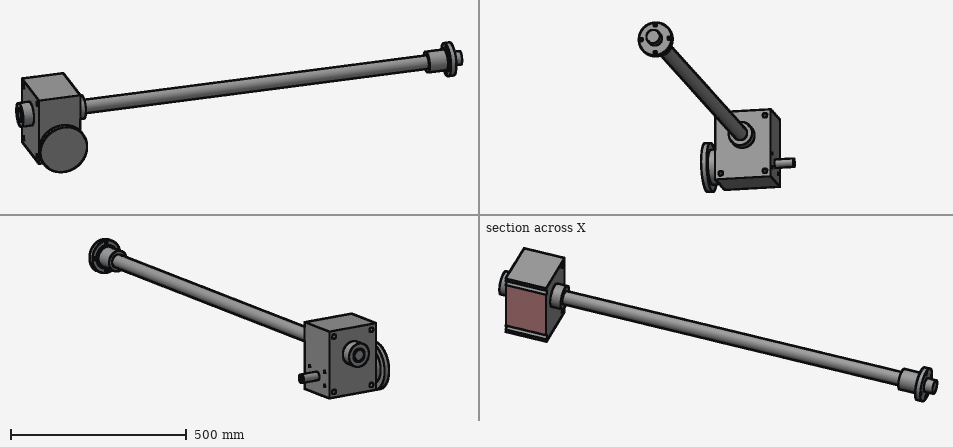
import cadquery as cq


housing_width = 162.0
housing_depth = 124.0
housing_height = 197.0
housing_top = 75.0
housing_bottom = housing_top - housing_height
boss_diameter = 68.0
boss_length = 32.0
boss_end = housing_depth / 2 + boss_length
corner_hole_diameter = 13.0
corner_hole_pitch_x = 129.0
corner_hole_pitch_z = 163.0

shaft_drop = 70.0
shaft_diameter = 25.0
shaft_length = 54.0
center_hole_diameter = 9.0
center_hole_depth = 10.0

side_hole_diameter = 6.7
side_hole_pitch_y = 75.0
side_hole_pitch_z = 41.0
side_hole_depth = 16.0

motor_flange_diameter = 140.0
motor_flange_thickness = 16.0
motor_neck_diameter = 100.0
motor_neck_length = 24.0

screw_diameter = 40.0
screw_length = 1315.0
screw_tip_diameter = 33.0
screw_tip_chamfer = (screw_diameter - screw_tip_diameter) / 2
screw_tip_protrusion = 1.0
screw_start = -boss_end - screw_tip_protrusion
screw_end = screw_start + screw_length

nut_diameter = 60.0
nut_flange_diameter = 96.0
nut_flange_thickness = 16.0
nut_sleeve_length = 58.0
screw_overhang = 26.0
nut_collar_diameter = 68.0
nut_collar_length = 4.0
nut_hole_diameter = 9.0
nut_hole_circle = 82.0
nut_hole_count = 4


def cylinder_y(diameter, start, length):
    """Cylinder on the screw axis, from Y = start towards +Y."""
    return cq.Workplane("XZ", origin=(0, start, 0)).circle(diameter / 2).extrude(-length)


def cylinder_x(diameter, start, length):
    """Cylinder on the input shaft axis, from X = start towards +X."""
    return cq.Workplane("YZ", origin=(start, 0, -shaft_drop)).circle(diameter / 2).extrude(length)


def make_housing():
    middle_z = (housing_top + housing_bottom) / 2
    body = cq.Workplane("XY").box(housing_width, housing_depth, housing_height)
    body = body.translate((0, 0, middle_z))
    body = body.union(cylinder_y(boss_diameter, -boss_end, 2 * boss_end))
    corner_holes = (
        cq.Workplane("XZ", origin=(0, housing_depth / 2, middle_z))
        .rarray(corner_hole_pitch_x, corner_hole_pitch_z, 2, 2)
        .circle(corner_hole_diameter / 2)
        .extrude(housing_depth)
    )
    side_holes = (
        cq.Workplane("YZ", origin=(-housing_width / 2, 0, -shaft_drop))
        .rarray(side_hole_pitch_y, side_hole_pitch_z, 2, 2)
        .circle(side_hole_diameter / 2)
        .extrude(side_hole_depth)
    )
    screw_bore = cylinder_y(screw_diameter, -boss_end, 2 * boss_end)
    return body.cut(corner_holes).cut(side_holes).cut(screw_bore)


def make_input_shaft():
    start = -housing_width / 2 - shaft_length
    shaft = cylinder_x(shaft_diameter, start, shaft_length)
    return shaft.cut(cylinder_x(center_hole_diameter, start, center_hole_depth))


def make_motor_flange():
    neck = cylinder_x(motor_neck_diameter, housing_width / 2, motor_neck_length)
    plate_start = housing_width / 2 + motor_neck_length
    return neck.union(cylinder_x(motor_flange_diameter, plate_start, motor_flange_thickness))


def make_screw():
    screw = cylinder_y(screw_diameter, screw_start, screw_length)
    return screw.faces("<Y").chamfer(screw_tip_protrusion, screw_tip_chamfer)


def make_nut():
    flange_start = screw_end - screw_overhang - nut_flange_thickness
    sleeve_start = flange_start - nut_sleeve_length
    total_length = nut_sleeve_length + nut_flange_thickness
    nut = cylinder_y(nut_diameter, sleeve_start, nut_sleeve_length - nut_collar_length)
    nut = nut.union(cylinder_y(nut_collar_diameter, flange_start - nut_collar_length, nut_collar_length))
    nut = nut.union(cylinder_y(nut_flange_diameter, flange_start, nut_flange_thickness))
    bolt_holes = (
        cq.Workplane("XZ", origin=(0, flange_start, 0))
        .polarArray(nut_hole_circle / 2, 0, 360, nut_hole_count)
        .circle(nut_hole_diameter / 2)
        .extrude(-nut_flange_thickness)
    )
    return nut.cut(bolt_holes).cut(cylinder_y(screw_diameter, sleeve_start, total_length))


housing = make_housing()
input_shaft = make_input_shaft()
motor_flange = make_motor_flange()
screw = make_screw()
nut = make_nut()

result = cq.Compound.makeCompound(
    [housing.val(), input_shaft.val(), motor_flange.val(), screw.val(), nut.val()]
)